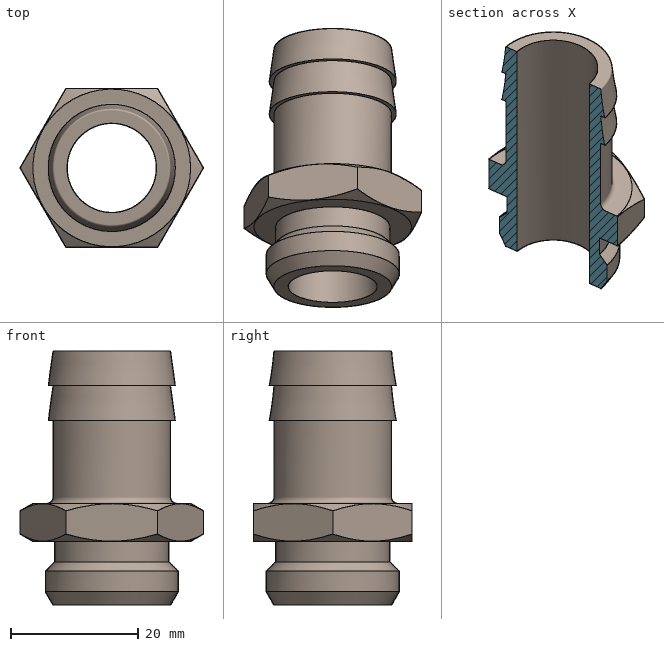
import cadquery as cq
import math

bore_diameter = 14.0
total_length = 40.0

collar_diameter = 20.95
neck_diameter = 18.0
collar_lead_height = 2.1
collar_lead_angle = 30.0
collar_shoulder_angle = 45.0
collar_shoulder_top = 6.8

hex_across_flats = 25.0
hex_bottom = 10.0
hex_height = 6.0
hex_chamfer_diameter = 24.8
hex_sides = 6
hex_chamfer_angle = 30.0

tail_diameter = 18.5
root_fillet_radius = 1.0
barb_diameter = 20.0
barb_count = 2
barb_pitch = 5.5
tip_rounding_radius = 0.3

hex_top = hex_bottom + hex_height
hex_across_corners = hex_across_flats / math.cos(math.pi / hex_sides)
collar_radius = collar_diameter / 2
neck_radius = neck_diameter / 2
tail_radius = tail_diameter / 2
barb_radius = barb_diameter / 2


def make_collar():
    """Neck with a collar tapered on both ends, from the lower end up to the hexagon."""
    lead_radius = collar_radius - collar_lead_height * math.tan(math.radians(collar_lead_angle))
    shoulder_height = (collar_radius - neck_radius) / math.tan(math.radians(collar_shoulder_angle))
    profile = (
        cq.Workplane("XZ")
        .moveTo(0, 0)
        .lineTo(lead_radius, 0)
        .lineTo(collar_radius, collar_lead_height)
        .lineTo(collar_radius, collar_shoulder_top - shoulder_height)
        .lineTo(neck_radius, collar_shoulder_top)
        .lineTo(neck_radius, hex_bottom)
        .lineTo(0, hex_bottom)
        .close()
    )
    return profile.revolve(360, (0, 0, 0), (0, 1, 0))


def make_hexagon():
    """Hexagon with corners on the X axis, its corners cut back by a cone on both faces."""
    prism = (
        cq.Workplane("XY")
        .workplane(offset=hex_bottom)
        .polygon(hex_sides, hex_across_corners)
        .extrude(hex_height)
    )
    face_radius = hex_chamfer_diameter / 2
    middle_z = hex_bottom + hex_height / 2
    middle_radius = face_radius + hex_height / 2 / math.tan(math.radians(hex_chamfer_angle))
    double_cone = (
        cq.Workplane("XZ")
        .moveTo(0, hex_bottom)
        .lineTo(face_radius, hex_bottom)
        .lineTo(middle_radius, middle_z)
        .lineTo(face_radius, hex_top)
        .lineTo(0, hex_top)
        .close()
        .revolve(360, (0, 0, 0), (0, 1, 0))
    )
    return prism.intersect(double_cone)


def make_tail():
    """Hose tail: concave root fillet, plain tube and barbs that narrow towards the tip."""
    root_arc_offset = root_fillet_radius * (1 - math.cos(math.radians(45)))
    profile = (
        cq.Workplane("XZ")
        .moveTo(0, hex_top)
        .lineTo(tail_radius + root_fillet_radius, hex_top)
        .threePointArc(
            (tail_radius + root_arc_offset, hex_top + root_arc_offset),
            (tail_radius, hex_top + root_fillet_radius),
        )
    )
    first_barb_bottom = total_length - barb_count * barb_pitch
    profile = profile.lineTo(tail_radius, first_barb_bottom)
    for index in range(barb_count):
        barb_bottom = first_barb_bottom + index * barb_pitch
        profile = profile.lineTo(barb_radius, barb_bottom)
        profile = profile.lineTo(tail_radius, barb_bottom + barb_pitch)
    tail = profile.lineTo(0, total_length).close().revolve(360, (0, 0, 0), (0, 1, 0))
    return tail.faces(">Z").edges().fillet(tip_rounding_radius)


def make_bore():
    """Plain bore through the whole length."""
    return cq.Workplane("XY").circle(bore_diameter / 2).extrude(total_length)


result = make_collar().union(make_hexagon()).union(make_tail()).cut(make_bore())